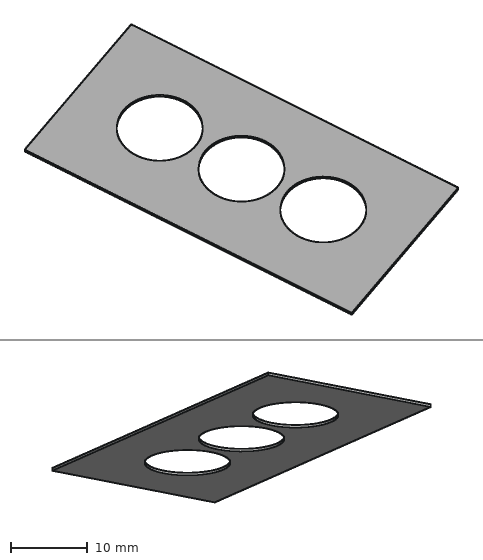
import cadquery as cq

length = 50.8
width = length / 2
thickness = 0.38

hole_count = 3
hole_diameter = 11.2
hole_pitch = length / (hole_count + 1)

plate = cq.Workplane("XY").box(length, width, thickness)

result = (
    plate.faces(">Z")
    .workplane()
    .rarray(hole_pitch, 0.5, hole_count, 1)
    .hole(hole_diameter)
)